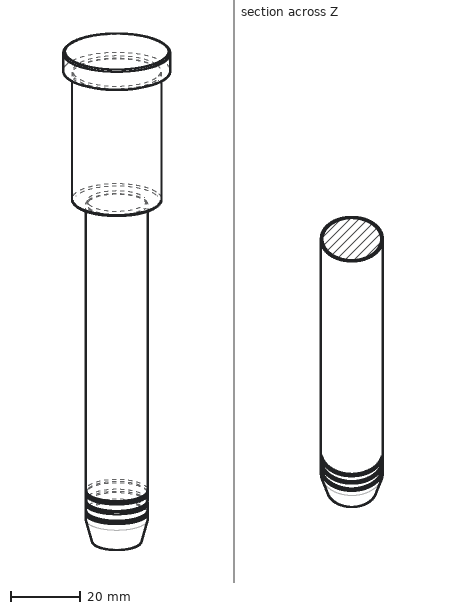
import cadquery as cq
import math

total_length = 151.0
head_thickness = 6.0
collar_end_depth = 46.0
taper_length = 7.0

head_radius = 31.0 / 2
collar_radius = 26.0 / 2
shaft_radius = 18.0 / 2

edge_chamfer = 0.53
tip_fillet = 0.6
taper_angle = 15.0

relief_length = 1.0
collar_relief_depth = 0.3
collar_relief_slope = 0.3
shaft_relief_depth = 0.5

groove_count = 3
groove_pitch = 3.0
groove_width = 1.0
groove_depth = 0.3
lowest_groove_height = 9.4


def cylinder(radius, bottom, top):
    """Solid cylinder on the Z axis between two heights."""
    return cq.Workplane("XY").workplane(offset=bottom).circle(radius).extrude(top - bottom)


def relief(radius, shoulder_height, depth, slope_height=0):
    """Ring cut below a shoulder; its lower end is square, or a cone of the given height."""
    floor_radius = radius - depth
    relief_bottom = shoulder_height - relief_length
    return (
        cq.Workplane("XZ")
        .moveTo(floor_radius, shoulder_height)
        .lineTo(floor_radius, relief_bottom + slope_height)
        .lineTo(radius, relief_bottom)
        .lineTo(radius, shoulder_height)
        .close()
        .revolve(360, (0, 0, 0), (0, 1, 0))
    )


def oil_groove(height):
    """V-shaped ring cut into the shaft at the given height."""
    return (
        cq.Workplane("XZ")
        .moveTo(shaft_radius - groove_depth, height)
        .lineTo(shaft_radius, height + groove_width / 2)
        .lineTo(shaft_radius, height - groove_width / 2)
        .close()
        .revolve(360, (0, 0, 0), (0, 1, 0))
    )


def tapered_tip():
    """Cone at the lower end of the shaft with a rounded end edge."""
    tip_radius = shaft_radius - taper_length * math.tan(math.radians(taper_angle))
    tip = (
        cq.Workplane("XZ")
        .lineTo(tip_radius, 0)
        .lineTo(shaft_radius, taper_length)
        .lineTo(0, taper_length)
        .close()
        .revolve(360, (0, 0, 0), (0, 1, 0))
    )
    return tip.faces("<Z").edges().fillet(tip_fillet)


head_bottom = total_length - head_thickness
collar_bottom = total_length - collar_end_depth

head = cylinder(head_radius, head_bottom, total_length).faces(">Z").edges().chamfer(edge_chamfer)
collar = cylinder(collar_radius, collar_bottom, head_bottom).faces("<Z").edges().chamfer(edge_chamfer)
collar = collar.cut(relief(collar_radius, head_bottom, collar_relief_depth, collar_relief_slope))
shaft = cylinder(shaft_radius, taper_length, collar_bottom)
shaft = shaft.cut(relief(shaft_radius, collar_bottom, shaft_relief_depth))
for index in range(groove_count):
    shaft = shaft.cut(oil_groove(lowest_groove_height + index * groove_pitch))

result = head.union(collar).union(shaft).union(tapered_tip())